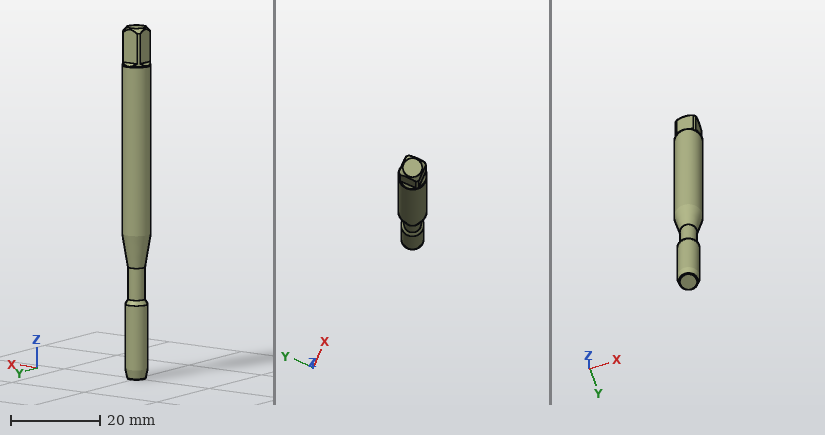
import cadquery as cq

total_length = 80.1
tip_chamfer_height = 0.25
lead_length = 2.3
thread_shoulder_height = 17.0
thread_length = 18.1
neck_edge_height = 0.25
taper_bottom = 25.6
taper_top = 33.0
shank_top = 71.4
shank_chamfer_height = 0.2

tip_diameter = 3.85
lead_start_diameter = 4.25
thread_diameter = 5.1
neck_diameter = 3.85
neck_rim_diameter = 4.0
shank_diameter = 6.5
drive_corner_diameter = 6.25
drive_end_diameter = 4.3

drive_across_flats = 4.9
end_chamfer_height = 1.05

tip_radius = tip_diameter / 2
lead_start_radius = lead_start_diameter / 2
thread_radius = thread_diameter / 2
neck_radius = neck_diameter / 2
neck_rim_radius = neck_rim_diameter / 2
shank_radius = shank_diameter / 2
drive_corner_radius = drive_corner_diameter / 2
drive_end_radius = drive_end_diameter / 2
flat_distance = drive_across_flats / 2


def revolve_profile(points):
    """Solid of revolution about Z from (radius, height) points."""
    return cq.Workplane("XZ").polyline(points).close().revolve(360, (0, 0), (0, 1))


def make_thread_section():
    """Cutting section with a chamfered tip, a tapered lead and a sloping rear shoulder."""
    return revolve_profile([
        (0, 0),
        (tip_radius, 0),
        (lead_start_radius, tip_chamfer_height),
        (thread_radius, lead_length),
        (thread_radius, thread_shoulder_height),
        (neck_rim_radius, thread_length - neck_edge_height),
        (neck_radius, thread_length),
        (0, thread_length),
    ])


def make_drive_flat_cutter():
    """Cutter for the +X flat, whose lower end runs out at 45 degrees."""
    runout_reach = shank_radius - flat_distance
    flat_bottom = shank_top + shank_chamfer_height + drive_corner_radius - flat_distance
    return (
        cq.Workplane("XZ")
        .polyline([
            (flat_distance, total_length),
            (flat_distance, flat_bottom),
            (shank_radius, flat_bottom - runout_reach),
            (shank_radius, total_length),
        ])
        .close()
        .extrude(shank_radius, both=True)
    )


def make_shank():
    """Neck, tapered transition, round shank and square drive."""
    shank = revolve_profile([
        (0, thread_length),
        (neck_radius, thread_length),
        (neck_radius, taper_bottom - neck_edge_height),
        (neck_rim_radius, taper_bottom),
        (shank_radius, taper_top),
        (shank_radius, shank_top),
        (drive_corner_radius, shank_top + shank_chamfer_height),
        (drive_corner_radius, total_length - end_chamfer_height),
        (drive_end_radius, total_length),
        (0, total_length),
    ])
    flat_cutter = make_drive_flat_cutter()
    for angle in (0, 90, 180, 270):
        shank = shank.cut(flat_cutter.rotate((0, 0, 0), (0, 0, 1), angle))
    return shank


thread_section = make_thread_section()
shank = make_shank()

result = cq.Compound.makeCompound([thread_section.val(), shank.val()])